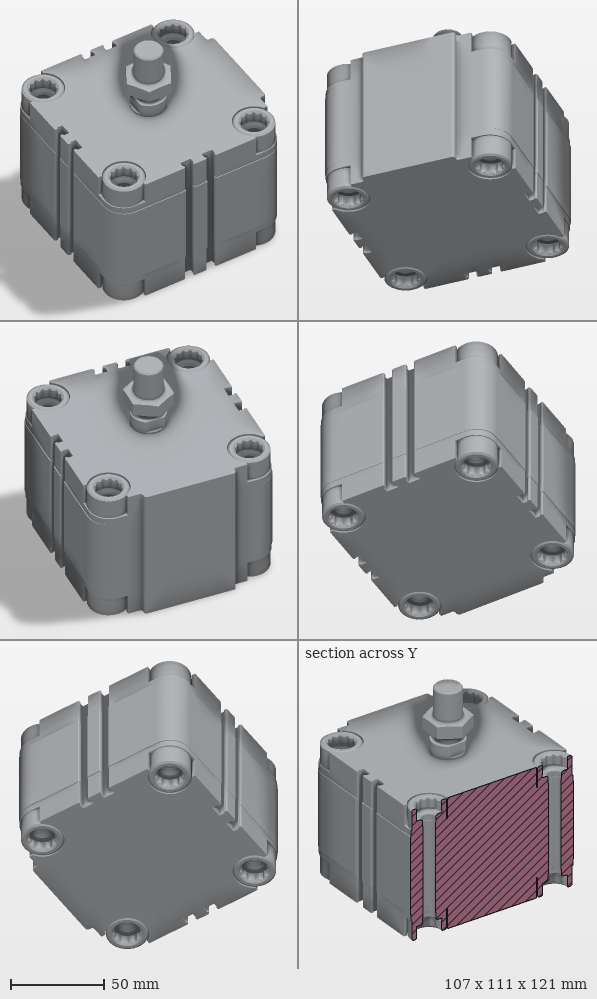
import cadquery as cq
import math

HALF_WIDTH = 53.5
BOSS_TOP = 57.5
CORNER_RADIUS = 12.5
CAP_SIDE_INSET = 0.5
CAP_FRONT_INSET = 0.2
CAP_CORNER_RADIUS = 12.1
BODY_HEIGHT = 81.0
CAP_HEIGHT = 16.5

BOSS_HALF_WIDTH = 26.7
BOSS_FOOT_FILLET = 1.3
BOSS_EDGE_FILLET = 1.7

SLOT_OFFSET = 6.8
MOUTH_BEVEL_DEPTH = 0.5
FRONT_SLOT = dict(mouth=6.0, neck=5.1, width=7.0, depth=5.6, lip=2.2, lip_taper=0.0)
SIDE_SLOT = dict(mouth=6.0, neck=4.8, width=6.5, depth=5.2, lip=1.8, lip_taper=0.6)
CAP_SIDE_SLOT = dict(SIDE_SLOT, neck=5.3)

SCREW_OFFSET = HALF_WIDTH - CORNER_RADIUS
HEAD_DIAMETER = 23
POCKET_DIAMETER = 23.6
HEAD_CHAMFER_WIDTH = 1.1
HEAD_CHAMFER_HEIGHT = 0.8
POCKET_DEPTH = 12.5
POCKET_WALL_OFFSET = 6.2
SCREW_BORE = 8.6
BORE_CHAMFER_DIAMETER = 10.9
BARREL_BORE = 8.0
SOCKET_TIP_DIAMETER = 16.0
SOCKET_NOTCH_DIAMETER = 14.2
SOCKET_MOUTH_DIAMETER = 17.2
SOCKET_POINTS = 12
SOCKET_DEPTH = 6.2
SOCKET_FLOOR_DEPTH = 7.7
UNDERCUT_DIAMETER = 16.5

TOTAL_HEIGHT = 121
ROD_DIAMETER = 20.0
ROD_TOP = 89.0
FLAT_SPACING = 17
FLAT_BOTTOM = 82.2
NECK_DIAMETER = 14.4
THREAD_DIAMETER = 16.0
THREAD_BOTTOM = 92
THREAD_CHAMFER = 0.7

NUT_WIDTH = 24.0
NUT_CHAMFER_DIAMETER = 23
NUT_CHAMFER_HEIGHT = 0.5
NUT_HEIGHT = 8.0
NUT_BOTTOM = 95.0


def fillet_edges_near(body, y, radius):
    """Round the upright edges that lie on the plane at this Y, within the width of the boss."""
    reach = BOSS_HALF_WIDTH + 1.2
    box = cq.selectors.BoxSelector((-reach, y - 0.1, -1.2), (reach, y + 0.1, BODY_HEIGHT + 1.2))
    return body.edges("|Z").edges(box).fillet(radius)


def body_outline(side_inset, front_inset, corner_radius, height):
    """Square block with rounded corners and the raised pad on +Y."""
    half_x = HALF_WIDTH - side_inset
    front = -HALF_WIDTH + front_inset
    block = cq.Workplane("XY").rect(2 * half_x, HALF_WIDTH - front, centered=(True, False)).extrude(height)
    block = block.translate((0, front, 0)).edges("|Z").fillet(corner_radius)
    boss = cq.Workplane("XY").rect(2 * BOSS_HALF_WIDTH, BOSS_TOP, centered=(True, False)).extrude(height)
    body = fillet_edges_near(block.union(boss), HALF_WIDTH, BOSS_FOOT_FILLET)
    return fillet_edges_near(body, BOSS_TOP, BOSS_EDGE_FILLET)


def slot_cutter(inset, mouth, neck, width, depth, lip, lip_taper):
    """Undercut slot opening towards -Y, centred on X = 0; depth and lip count from the barrel side."""
    face = -HALF_WIDTH + inset
    right = [
        (mouth / 2, -HALF_WIDTH - 1.2),
        (mouth / 2, face),
        (neck / 2, face + MOUTH_BEVEL_DEPTH),
        (neck / 2, -HALF_WIDTH + lip),
        (width / 2, -HALF_WIDTH + lip + lip_taper),
        (width / 2, -HALF_WIDTH + depth),
    ]
    left = [(-x, y) for x, y in reversed(right)]
    return cq.Workplane("XY").polyline(right + left).close().extrude(BODY_HEIGHT)


def cut_slots(body, side_inset, front_inset, side_slot):
    """A pair of slots in each of the -Y, +X and -X sides, along the whole section."""
    front_cutter = slot_cutter(front_inset, **FRONT_SLOT)
    side_cutter = slot_cutter(side_inset, **side_slot)
    for angle, cutter in ((0, front_cutter), (90, side_cutter), (-90, side_cutter)):
        for offset in (-SLOT_OFFSET, SLOT_OFFSET):
            body = body.cut(cutter.translate((offset, 0, 0)).rotate((0, 0, 0), (0, 0, 1), angle))
    return body


def make_barrel():
    barrel = body_outline(0, 0, CORNER_RADIUS, BODY_HEIGHT - 2 * CAP_HEIGHT)
    return cut_slots(barrel, 0, 0, SIDE_SLOT).translate((0, 0, CAP_HEIGHT))


def make_cap():
    cap = body_outline(CAP_SIDE_INSET, CAP_FRONT_INSET, CAP_CORNER_RADIUS, CAP_HEIGHT)
    return cut_slots(cap, CAP_SIDE_INSET, CAP_FRONT_INSET, CAP_SIDE_SLOT)


def corner_pocket():
    """Pocket on the +X +Y corner of the top cap, on the screw axis."""
    depth = POCKET_DEPTH
    reach = 2 * CORNER_RADIUS
    square = cq.Workplane("XY").rect(reach + POCKET_WALL_OFFSET, reach + POCKET_WALL_OFFSET, centered=False)
    square = square.extrude(-depth).translate((-POCKET_WALL_OFFSET, -POCKET_WALL_OFFSET, 0))
    return square.union(cq.Workplane("XY").circle(POCKET_DIAMETER / 2).extrude(-depth))


def screw_head():
    radius = HEAD_DIAMETER / 2
    profile = [
        (0, -POCKET_DEPTH),
        (radius, -POCKET_DEPTH),
        (radius, -HEAD_CHAMFER_HEIGHT),
        (radius - HEAD_CHAMFER_WIDTH, 0),
        (0, 0),
    ]
    return cq.Workplane("XZ").polyline(profile).close().revolve(360, (0, 0, 0), (0, 1, 0))


def screw_socket():
    """Twelve-point socket with a countersunk mouth, a round undercut below it and a bore."""
    notch = SOCKET_NOTCH_DIAMETER / 2
    mouth = SOCKET_MOUTH_DIAMETER / 2
    undercut = UNDERCUT_DIAMETER / 2
    screw_bore = SCREW_BORE / 2
    barrel_bore = BARREL_BORE / 2
    bore_chamfer = BORE_CHAMFER_DIAMETER / 2 - screw_bore
    profile = [
        (0, 0),
        (mouth, 0),
        (notch, notch - mouth),
        (notch, -SOCKET_DEPTH),
        (undercut, -SOCKET_DEPTH),
        (undercut, -SOCKET_FLOOR_DEPTH),
        (screw_bore + bore_chamfer, -SOCKET_FLOOR_DEPTH),
        (screw_bore, -SOCKET_FLOOR_DEPTH - bore_chamfer),
        (screw_bore, -POCKET_DEPTH),
        (barrel_bore, -POCKET_DEPTH),
        (barrel_bore, -BODY_HEIGHT / 2),
        (0, -BODY_HEIGHT / 2),
    ]
    round_part = cq.Workplane("XZ").polyline(profile).close().revolve(360, (0, 0, 0), (0, 1, 0))
    star = []
    for i in range(2 * SOCKET_POINTS):
        radius = (SOCKET_TIP_DIAMETER if i % 2 == 0 else SOCKET_NOTCH_DIAMETER) / 2
        angle = i * math.pi / SOCKET_POINTS
        star.append((radius * math.cos(angle), radius * math.sin(angle)))
    return round_part.union(cq.Workplane("XY").polyline(star).close().extrude(-SOCKET_DEPTH))


def at_every_corner(tool):
    """Copies of a tool made for the top +X +Y corner, at all four corners of both ends."""
    top = tool.translate((SCREW_OFFSET, SCREW_OFFSET, BODY_HEIGHT))
    bottom = top.mirror("XY", (0, 0, BODY_HEIGHT / 2))
    return [end.rotate((0, 0, 0), (0, 0, 1), 90 * i) for end in (top, bottom) for i in range(4)]


def make_housing():
    cap = make_cap()
    housing = make_barrel().union(cap).union(cap.translate((0, 0, BODY_HEIGHT - CAP_HEIGHT)))
    for pocket in at_every_corner(corner_pocket()):
        housing = housing.cut(pocket)
    for head in at_every_corner(screw_head()):
        housing = housing.union(head)
    for socket in at_every_corner(screw_socket()):
        housing = housing.cut(socket)
    return housing


def make_rod():
    """Rod with two wrench flats, a neck and a threaded end drawn as a plain cylinder."""
    thread = THREAD_DIAMETER / 2
    neck = NECK_DIAMETER / 2
    profile = [
        (0, BODY_HEIGHT),
        (ROD_DIAMETER / 2, BODY_HEIGHT),
        (ROD_DIAMETER / 2, ROD_TOP),
        (neck, ROD_TOP),
        (neck, THREAD_BOTTOM),
        (thread, THREAD_BOTTOM + thread - neck),
        (thread, TOTAL_HEIGHT - THREAD_CHAMFER),
        (thread - THREAD_CHAMFER, TOTAL_HEIGHT),
        (0, TOTAL_HEIGHT),
    ]
    rod = cq.Workplane("XZ").polyline(profile).close().revolve(360, (0, 0, 0), (0, 1, 0))
    for side in (-1, 1):
        flat = (
            cq.Workplane("XY", origin=(0, side * (FLAT_SPACING + ROD_DIAMETER) / 2, FLAT_BOTTOM))
            .rect(ROD_DIAMETER, ROD_DIAMETER)
            .extrude(ROD_TOP - FLAT_BOTTOM)
        )
        rod = rod.cut(flat)
    return rod


def make_nut():
    """Hexagon nut with corners on the Y axis, chamfered on both faces."""
    across_corners = NUT_WIDTH / math.cos(math.pi / 6)
    nut = cq.Workplane("XY").polygon(6, across_corners).extrude(NUT_HEIGHT)
    nut = nut.rotate((0, 0, 0), (0, 0, 1), 30)
    inner = NUT_CHAMFER_DIAMETER / 2
    outer = across_corners / 2
    drop = NUT_CHAMFER_HEIGHT
    profile = [
        (0, 0),
        (inner, 0),
        (outer, drop),
        (outer, NUT_HEIGHT - drop),
        (inner, NUT_HEIGHT),
        (0, NUT_HEIGHT),
    ]
    nut = nut.intersect(cq.Workplane("XZ").polyline(profile).close().revolve(360, (0, 0, 0), (0, 1, 0)))
    hole = cq.Workplane("XY").circle(THREAD_DIAMETER / 2).extrude(NUT_HEIGHT)
    return nut.cut(hole).translate((0, 0, NUT_BOTTOM))


housing = make_housing()
rod = make_rod()
nut = make_nut()
result = cq.Compound.makeCompound([housing.val(), rod.val(), nut.val()])